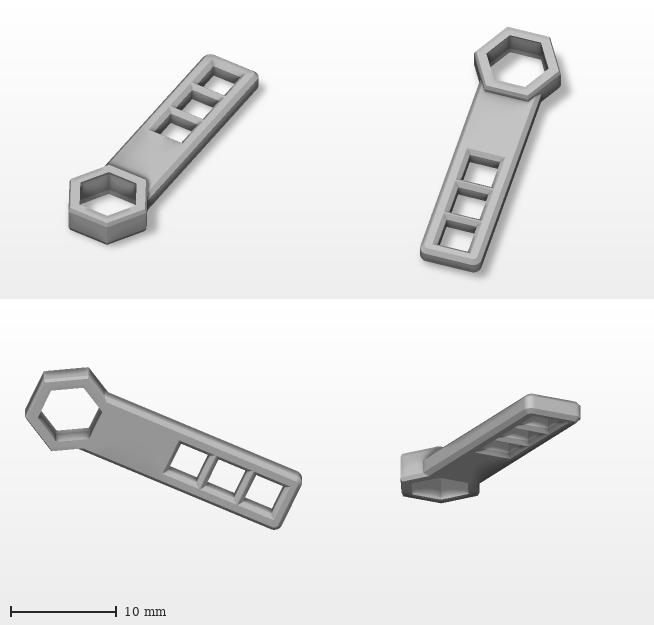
import cadquery as cq
import math

total_length = 26.7
ring_corners = 8.55
ring_height = 2.8
mouth_corners = 6.15

arm_width = 6.0
arm_height = 2.0
arm_corner_radius = 0.8

bevel_height = 0.4
ring_bevel_inset = 0.15

window_count = 3
window_opening = 3.0
window_bevel = 0.4
window_rib = 0.1
window_end_margin = 0.95

ring_flats = ring_corners * math.cos(math.pi / 6)
bevel_corner_change = 2 * ring_bevel_inset / math.cos(math.pi / 6)
arm_end_y = total_length - ring_flats / 2
window_mouth = window_opening + 2 * window_bevel
window_pitch = window_mouth + window_rib
first_window_y = arm_end_y - window_end_margin - window_mouth / 2


def bevelled_hexagon(middle_corners, end_corners):
    """Full-height hexagonal prism that narrows towards its top and bottom faces."""
    straight_height = ring_height - 2 * bevel_height
    return (
        cq.Workplane("XY")
        .polygon(6, end_corners)
        .workplane(offset=bevel_height)
        .polygon(6, middle_corners)
        .workplane(offset=straight_height)
        .polygon(6, middle_corners)
        .workplane(offset=bevel_height)
        .polygon(6, end_corners)
        .loft(ruled=True)
    )


def arm_body():
    """Flat arm from the ring centre, rounded at its free end and bevelled all round."""
    return (
        cq.Workplane("XY")
        .box(arm_width, arm_end_y, arm_height, centered=(True, False, False))
        .edges("|Z and >Y")
        .fillet(arm_corner_radius)
        .faces("<Z or >Z")
        .edges("not <Y")
        .chamfer(bevel_height)
    )


def window_cutter(center_y):
    """Square through-opening that flares out at both faces of the arm."""
    return (
        cq.Workplane("XY", origin=(0, center_y, 0))
        .rect(window_mouth, window_mouth)
        .workplane(offset=window_bevel)
        .rect(window_opening, window_opening)
        .workplane(offset=arm_height - 2 * window_bevel)
        .rect(window_opening, window_opening)
        .workplane(offset=window_bevel)
        .rect(window_mouth, window_mouth)
        .loft(ruled=True)
    )


ring = bevelled_hexagon(ring_corners, ring_corners - bevel_corner_change)
hole = bevelled_hexagon(mouth_corners + bevel_corner_change, mouth_corners)

result = ring.union(arm_body())
for index in range(window_count):
    result = result.cut(window_cutter(first_window_y - index * window_pitch))
result = result.cut(hole)